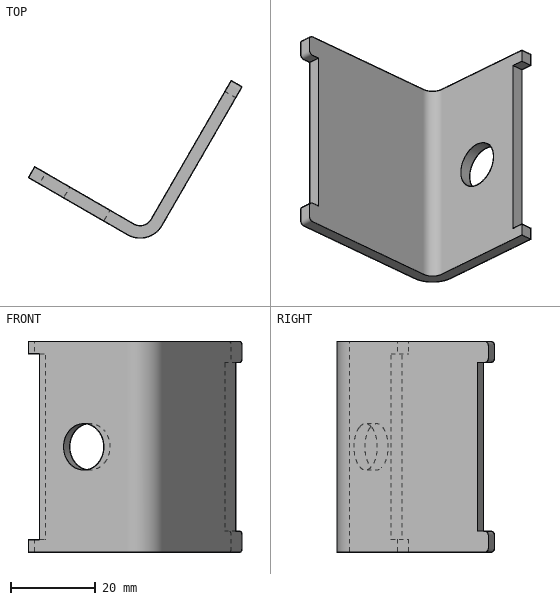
import cadquery as cq
import math

overall_width = 50.65
height = 50.0
thickness = 3.0
inner_radius = 3.0
outer_radius = inner_radius + thickness
bend_tilt = 30

long_flange = 38.0
tilt = math.radians(bend_tilt)
bend_width = outer_radius * (math.sin(tilt) + math.cos(tilt))
long_flange_width = long_flange * math.sin(tilt)
short_flange = (overall_width - bend_width - long_flange_width) / math.cos(tilt)

short_notch_depth = 3.0
short_tab_height = 3.0
long_notch_depth = 3.0
long_tab_height = 5.0
tab_corner_radius = 1.0

hole_diameter = 11.0
hole_from_bend = 12.0


def notched_flange(length, notch_depth, tab_height, corner_radius=0):
    """Flat plate from X = 0 to length, in Y = 0 to thickness, centred on Z = 0."""
    plate = cq.Workplane("XY").box(length, thickness, height, centered=(False, False, True))
    notch = (
        cq.Workplane("XY")
        .box(notch_depth, thickness, height - 2 * tab_height, centered=(False, False, True))
        .translate((length - notch_depth, 0, 0))
    )
    plate = plate.cut(notch)
    if corner_radius:
        plate = plate.edges("|Y and >X").fillet(corner_radius)
    return plate


bend = (
    cq.Workplane("XY", origin=(0, 0, -height / 2))
    .moveTo(inner_radius, 0)
    .lineTo(outer_radius, 0)
    .radiusArc((0, -outer_radius), outer_radius)
    .lineTo(0, -inner_radius)
    .radiusArc((inner_radius, 0), -inner_radius)
    .close()
    .extrude(height)
)

hole = (
    cq.Workplane("XZ")
    .center(hole_from_bend, 0)
    .circle(hole_diameter / 2)
    .extrude(-thickness)
)
short_plate = (
    notched_flange(short_flange, short_notch_depth, short_tab_height)
    .cut(hole)
    .rotate((0, 0, 0), (0, 0, 1), 180)
    .translate((0, -inner_radius, 0))
)
long_plate = (
    notched_flange(long_flange, long_notch_depth, long_tab_height, tab_corner_radius)
    .rotate((0, 0, 0), (0, 0, 1), 90)
    .translate((outer_radius, 0, 0))
)

bracket = bend.union(short_plate).union(long_plate)
result = bracket.rotate((0, 0, 0), (0, 0, 1), -bend_tilt)